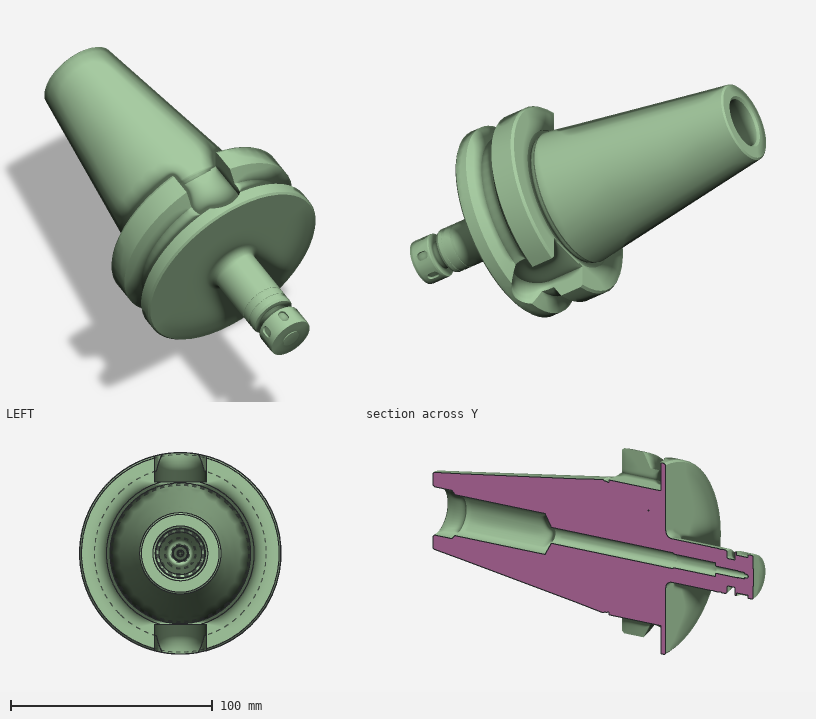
import cadquery as cq
import math

length = 191.8
overlap = 2.0

taper_slope = 7 / 24 / 2
taper_length = 101.8
taper_big_radius = 35.0
taper_small_radius = taper_big_radius - taper_length * taper_slope
taper_end_chamfer = 0.8

flange_start = 104.7
flange_end = 139.5
flange_diameter = 100.0
flange_radius = flange_diameter / 2
flange_chamfer = 1.0
flange_start_chamfer = 1.3
neck_radius = 34.3
neck_edge = 1.0
relief_neck_start = 104.1
relief_floor = 105.3
relief_inner_radius = 33.8
relief_outer_radius = 36.6
groove_center = 125.0
groove_floor_width = 6.5
groove_floor_radius = 42.5
groove_flank_angle = 30
groove_flank_run = (flange_radius - groove_floor_radius) * math.tan(math.radians(groove_flank_angle))
groove_half_floor = groove_floor_width / 2
groove_half_mouth = groove_half_floor + groove_flank_run

drive_slot_width = 25.7
drive_slot_floor = 35.3
drive_slot_end = 136.2

stem_radius = 11.5
stem_end = 175.9
stem_chamfer_length = 1.2
stem_chamfer_depth = 0.5
stem_fillet = 3.5
stem_grooves = [(166.5, 167.6), (171.0, 172.8)]
stem_groove_depth = 0.2

nut_neck_radius = 7.3
nut_neck_flare = 0.5
nut_start = 180.5
nut_end = 191.5
nut_radius = 11.5
nut_start_taper = 0.8
nut_end_taper = 1.3
nut_edge_drop = 0.2
nose_radius = 4.6
recess_count = 6
recess_start = 181.8
recess_end = 188.2
recess_width = 4.2
recess_floor = 10.0

bore_radius = 12.5
bore_chamfer = 1.2
bore_depth = 11.9
drill_radius = 10.5
lead_in_radius = 12.0
drill_start = bore_depth + lead_in_radius - drill_radius
drill_depth = 67.1
drill_point_slope = math.tan(math.radians(30))
passage_radius = 4.0
drill_tip = drill_depth + (drill_radius - passage_radius) * drill_point_slope
passage_end = 143.8
passage_steps = [(3.5, 168.8), (1.7, 182.2), (1.5, 186.0), (0.86, 188.0)]
passage_tip = 188.5


def revolve_profile(profile):
    """Close a half profile onto the X axis and turn it about that axis."""
    return profile.close().revolve(360, (0, 0, 0), (1, 0, 0))


def holder_body():
    """Outer shape from the taper to the nut."""
    profile = (
        cq.Workplane("XY")
        .moveTo(0, 0)
        .lineTo(0, taper_small_radius - taper_end_chamfer)
        .lineTo(taper_end_chamfer, taper_small_radius + taper_end_chamfer * taper_slope)
        .lineTo(taper_length, taper_big_radius)
        .lineTo(taper_length + neck_edge, neck_radius)
        .lineTo(relief_neck_start, neck_radius)
        .lineTo(relief_floor, relief_inner_radius)
        .lineTo(relief_floor, relief_outer_radius)
        .lineTo(flange_start, relief_outer_radius)
        .lineTo(flange_start, flange_radius - flange_chamfer)
        .lineTo(flange_start + flange_start_chamfer, flange_radius)
        .lineTo(groove_center - groove_half_mouth, flange_radius)
        .lineTo(groove_center - groove_half_floor, groove_floor_radius)
        .lineTo(groove_center + groove_half_floor, groove_floor_radius)
        .lineTo(groove_center + groove_half_mouth, flange_radius)
        .lineTo(flange_end - flange_chamfer, flange_radius)
        .lineTo(flange_end, flange_radius - flange_chamfer)
        .lineTo(flange_end, stem_radius + stem_fillet)
        .radiusArc((flange_end + stem_fillet, stem_radius), -stem_fillet)
    )
    for groove_start, groove_end in stem_grooves:
        profile = (
            profile.lineTo(groove_start, stem_radius)
            .lineTo(groove_start, stem_radius - stem_groove_depth)
            .lineTo(groove_end, stem_radius - stem_groove_depth)
            .lineTo(groove_end, stem_radius)
        )
    profile = (
        profile.lineTo(stem_end - stem_chamfer_length, stem_radius)
        .lineTo(stem_end, stem_radius - stem_chamfer_depth)
        .lineTo(stem_end, nut_neck_radius + nut_neck_flare)
        .lineTo(stem_end + nut_neck_flare, nut_neck_radius)
        .lineTo(nut_start, nut_neck_radius)
        .lineTo(nut_start, nut_radius - nut_edge_drop)
        .lineTo(nut_start + nut_start_taper, nut_radius)
        .lineTo(nut_end - nut_end_taper, nut_radius)
        .lineTo(nut_end, nut_radius - nut_edge_drop)
        .lineTo(nut_end, nose_radius)
        .lineTo(length, nose_radius)
        .lineTo(length, 0)
    )
    return revolve_profile(profile)


def bore():
    """Cutter for the blind stepped bore, which narrows towards the nut."""
    profile = (
        cq.Workplane("XY")
        .moveTo(0, 0)
        .lineTo(0, bore_radius + bore_chamfer)
        .lineTo(bore_chamfer, bore_radius)
        .lineTo(bore_depth, bore_radius)
        .lineTo(bore_depth, lead_in_radius)
        .lineTo(drill_start, drill_radius)
        .lineTo(drill_depth, drill_radius)
        .lineTo(drill_tip, passage_radius)
        .lineTo(passage_end, passage_radius)
    )
    step_start = passage_end
    for step_radius, step_end in passage_steps:
        profile = profile.lineTo(step_start, step_radius).lineTo(step_end, step_radius)
        step_start = step_end
    profile = profile.lineTo(passage_tip, 0)
    return revolve_profile(profile)


def drive_slot():
    """Cutter for the upper slot: straight from the taper side, with a half round end."""
    half_width = drive_slot_width / 2
    arc_center = drive_slot_end - half_width
    return (
        cq.Workplane("XY", origin=(0, 0, drive_slot_floor))
        .moveTo(flange_start - overlap, -half_width)
        .lineTo(arc_center, -half_width)
        .threePointArc((drive_slot_end, 0), (arc_center, half_width))
        .lineTo(flange_start - overlap, half_width)
        .close()
        .extrude(flange_radius - drive_slot_floor + overlap)
    )


def nut_recess():
    """Cutter for the uppermost round-ended recess in the nut."""
    return (
        cq.Workplane("XY", origin=((recess_start + recess_end) / 2, 0, recess_floor))
        .slot2D(recess_end - recess_start, recess_width)
        .extrude(nut_radius - recess_floor + overlap)
    )


def around_axis(shape, angle):
    """Turn a shape about the X axis."""
    return shape.rotate((0, 0, 0), (1, 0, 0), angle)


result = holder_body().cut(bore())
for angle in (0, 180):
    result = result.cut(around_axis(drive_slot(), angle))
for index in range(recess_count):
    result = result.cut(around_axis(nut_recess(), index * 360 / recess_count))